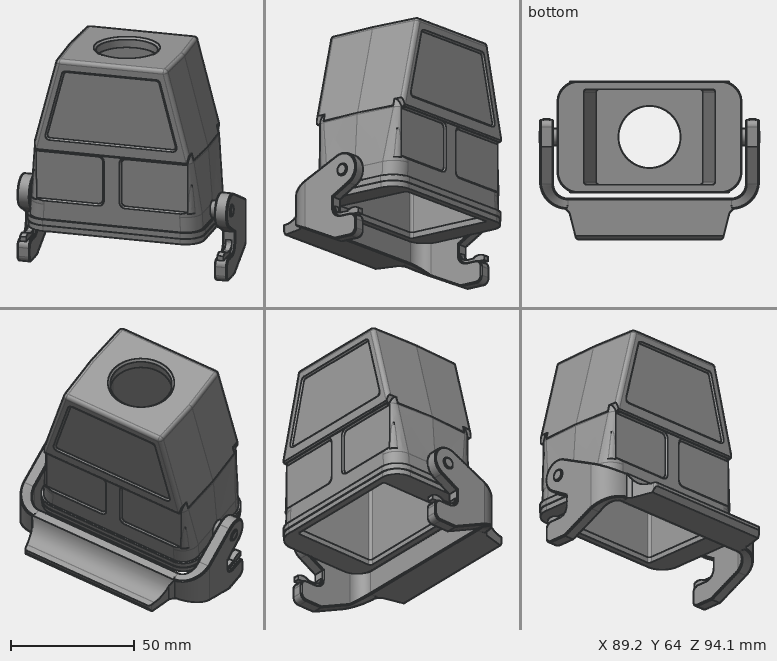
import cadquery as cq
import math

HOOD_TOP = 94.1
LEDGE_Z = 54.4
NOTCH_TOP = 58.0
BAND_TOP = 31.4
FLANGE_TOP = 25.0
FLANGE_BOTTOM = 22.5
GASKET_BOTTOM = 20.0

UPPER_HALF_Y = 22.5
UPPER_TOP_HALF_X = 24.0
UPPER_LOW_HALF_X = 34.3
PARTING_RISE = 0.8
BAND_RISE = 0.1
LOWER_HALF_Y = 21.55
BAND_HALF_X = 35.9
FOOT_HALF_X = 36.3
BAND_RADIUS = 7.3
CORNER_RADIUS = 3.8
POST_RADIUS = 2.8
POST_LOW_HALF_X = 34.4
POST_TOP_HALF_X = 33.4
FLANGE_LIP = 0.9
GASKET_LIP = 0.7
UPPER_FILLET = 1.7
END_SLOPE = (UPPER_LOW_HALF_X - UPPER_TOP_HALF_X) / (HOOD_TOP - LEDGE_Z)

NOTCH_HALF_X = 31.9
LEDGE_CHAMFER = 0.7
NOTCH_HALF_Y = LOWER_HALF_Y - CORNER_RADIUS

PANEL_DEPTH = 0.75
PANEL_TOP_Z = 89.6
PANEL_BOTTOM_Z = 59.4
PANEL_TOP_HALF_X = 20.4
PANEL_RADIUS = 1.9
SIDE_PANEL_BOTTOM_Z = 32.8
SIDE_PANEL_GAP = 3.2
SIDE_PANEL_RADIUS = 2.6

CABLE_HOLE_D = 25.0
CABLE_HOLE_CHAMFER = 0.9
CAVITY_TOP = 89.8
CAVITY_KNEE_Z = 70.6
CAVITY_HALF_X = 26.5
CAVITY_HALF_Y = 19.3
CAVITY_RADIUS = 1.1

PIVOT_Z = 28.6
PIN_D = 5.1
PIN_END = 44.6
PIN_CHAMFER = 0.5
COLLAR_D = 7.0
COLLAR_SEAT = 34.8

ARM_OUTER = 44.3
ARM_INNER = 39.0
BRIDGE_OUTER_Y = 29.2
BRIDGE_INNER_Y = 24.8
BEND_START_Y = 19.0
BOSS_RADIUS = 7.1
BRIDGE_TOP_Z = 22.9
BRIDGE_BOTTOM_Z = 11.9
HOOK_HEEL_Y = 3.9
HOOK_TIP_Y = -7.0
HOOK_BACK_Y = 4.7
HOOK_THROAT_Z = 17.9
HOOK_SEAT_Z = 9.4
HOOK_RADIUS = 4.1
HOOK_CORNER = 2.8
ARM_CHAMFER = 0.5
BEND_STEPS = 4

HANDLE_TIP_Y = 41.5
HANDLE_TOP_Z = 16.1
HANDLE_FLAT_Y = 38.6
HANDLE_TIP_HALF_X = 29.6
HANDLE_NECK_Y = 30.8
HANDLE_NECK_HALF_X = 32.4
HANDLE_ROOT_HALF_X = 36.5
HANDLE_ROOT_Y = 27.8
HANDLE_SAG = 2.1
HANDLE_FLARE_SAG = 0.6
HANDLE_TIP_RADIUS = 1.4
HANDLE_BEVEL_Y = 1.5
HANDLE_BEVEL_Z = 2.7

INSERT_WIDTH = 2.6
INSERT_TOP_Z = 12.0
INSERT_DIP_Z = 11.0
INSERT_START_Z = 14.3
INSERT_TIP_Y = -7.3
BUMP_START_Y = -1.7
BUMP_PEAK_Y = -4.5
BUMP_END_Z = 11.4

SIDES = (-1, 1)
CORNERS = [(sx, sy) for sx in SIDES for sy in SIDES]
DIAGONAL = math.sqrt(0.5)


def rounded_box(half_x, half_y, radius, z_low, z_high):
    block = cq.Workplane("XY").workplane(offset=z_low).rect(2 * half_x, 2 * half_y)
    return block.extrude(z_high - z_low).edges("|Z").fillet(radius)


def section(z, half_x, half_y, radius, rise):
    """Closed outline at height z; its end sides bow out to half_x + rise at Y = 0."""
    flat_x = half_x - radius
    flat_y = half_y - radius
    bow = radius * DIAGONAL
    outline = cq.Workplane("XY").workplane(offset=z).moveTo(half_x + rise, 0)
    outline = outline.lineTo(half_x, flat_y)
    outline = outline.threePointArc((flat_x + bow, flat_y + bow), (flat_x, half_y))
    outline = outline.lineTo(-flat_x, half_y)
    outline = outline.threePointArc((-flat_x - bow, flat_y + bow), (-half_x, flat_y))
    outline = outline.lineTo(-half_x - rise, 0)
    outline = outline.lineTo(-half_x, -flat_y)
    outline = outline.threePointArc((-flat_x - bow, -flat_y - bow), (-flat_x, -half_y))
    outline = outline.lineTo(flat_x, -half_y)
    outline = outline.threePointArc((flat_x + bow, -flat_y - bow), (half_x, -flat_y))
    return outline.close().wires().val()


def loft(*wires):
    return cq.Workplane(obj=cq.Solid.makeLoft(list(wires), True))


def corner_notch(sx, sy):
    """Wedge under one lower corner of the upper housing; sx and sy pick the corner."""
    slope_x = UPPER_LOW_HALF_X - PARTING_RISE - END_SLOPE * (NOTCH_TOP - LEDGE_Z)
    profile = [
        (sx * NOTCH_HALF_X, LEDGE_Z), (sx * ARM_INNER, LEDGE_Z),
        (sx * ARM_INNER, NOTCH_TOP), (sx * slope_x, NOTCH_TOP),
    ]
    start = min(sy * NOTCH_HALF_Y, sy * (UPPER_HALF_Y + 0.9))
    wedge = cq.Workplane("XZ", origin=(0, start, 0)).polyline(profile).close()
    return wedge.extrude(NOTCH_HALF_Y - UPPER_HALF_Y - 0.9)


def upper_housing():
    def outline(z, half_x):
        corner_x = half_x - PARTING_RISE
        points = [
            (half_x, 0), (corner_x, UPPER_HALF_Y), (-corner_x, UPPER_HALF_Y),
            (-half_x, 0), (-corner_x, -UPPER_HALF_Y), (corner_x, -UPPER_HALF_Y),
        ]
        return cq.Workplane("XY").workplane(offset=z).polyline(points).close().wires().val()

    body = loft(outline(LEDGE_Z, UPPER_LOW_HALF_X), outline(HOOD_TOP, UPPER_TOP_HALF_X))
    rounded_edges = body.faces("<Y or >Y").edges("not(|X)").add(body.edges(">Z"))
    body = rounded_edges.fillet(UPPER_FILLET)
    body = body.edges("|X and <Z").chamfer(LEDGE_CHAMFER)
    for sx, sy in CORNERS:
        body = body.cut(corner_notch(sx, sy))
    return body


def lower_housing():
    ledge_half_x = UPPER_LOW_HALF_X - PARTING_RISE
    top_half_x = ledge_half_x - END_SLOPE * (NOTCH_TOP - LEDGE_Z)
    band_top = section(BAND_TOP, BAND_HALF_X, LOWER_HALF_Y, BAND_RADIUS, BAND_RISE)
    foot = section(FLANGE_TOP, FOOT_HALF_X, LOWER_HALF_Y, BAND_RADIUS, BAND_RISE)
    ledge = section(LEDGE_Z, ledge_half_x, LOWER_HALF_Y, CORNER_RADIUS, PARTING_RISE)
    notch_top = section(NOTCH_TOP, top_half_x, LOWER_HALF_Y, CORNER_RADIUS, PARTING_RISE)
    body = loft(foot, band_top).union(loft(band_top, ledge))
    body = body.union(loft(ledge, notch_top))
    flange = rounded_box(
        FOOT_HALF_X + FLANGE_LIP, LOWER_HALF_Y + FLANGE_LIP, BAND_RADIUS + FLANGE_LIP,
        FLANGE_BOTTOM, FLANGE_TOP)
    post_half_y = LOWER_HALF_Y - PANEL_DEPTH
    posts = loft(
        section(SIDE_PANEL_BOTTOM_Z, POST_LOW_HALF_X, post_half_y, POST_RADIUS, 0),
        section(LEDGE_Z, POST_TOP_HALF_X, post_half_y, POST_RADIUS, 0))
    return body.union(flange).union(posts)


def panel_recess(points, radius, face_y):
    """Rounded recess with 45 degree walls, sunk into the long side at Y = -face_y."""
    block = cq.Workplane("XZ").workplane(offset=face_y - PANEL_DEPTH).polyline(points).close()
    block = block.extrude(PANEL_DEPTH).edges("|Y").fillet(radius)
    return block.faces(">Y").chamfer(0.99 * PANEL_DEPTH)


def recessed_panels():
    bottom_half_x = PANEL_TOP_HALF_X + END_SLOPE * (PANEL_TOP_Z - PANEL_BOTTOM_Z)
    upper_panel = panel_recess(
        [
            (-bottom_half_x, PANEL_BOTTOM_Z), (bottom_half_x, PANEL_BOTTOM_Z),
            (PANEL_TOP_HALF_X, PANEL_TOP_Z), (-PANEL_TOP_HALF_X, PANEL_TOP_Z),
        ],
        PANEL_RADIUS, UPPER_HALF_Y)
    side_panel = panel_recess(
        [
            (SIDE_PANEL_GAP, SIDE_PANEL_BOTTOM_Z), (ARM_OUTER, SIDE_PANEL_BOTTOM_Z),
            (ARM_OUTER, LEDGE_Z), (SIDE_PANEL_GAP, LEDGE_Z),
        ],
        SIDE_PANEL_RADIUS, LOWER_HALF_Y)
    near_side = [upper_panel, side_panel, side_panel.mirror("YZ")]
    return near_side + [panel.mirror("XZ") for panel in near_side]


def cavity():
    roof_half_x = CAVITY_HALF_X - END_SLOPE * (CAVITY_TOP - CAVITY_KNEE_Z)
    profile = [
        (-CAVITY_HALF_X, GASKET_BOTTOM), (CAVITY_HALF_X, GASKET_BOTTOM),
        (CAVITY_HALF_X, CAVITY_KNEE_Z), (roof_half_x, CAVITY_TOP),
        (-roof_half_x, CAVITY_TOP), (-CAVITY_HALF_X, CAVITY_KNEE_Z),
    ]
    block = cq.Workplane("XZ").polyline(profile).close().extrude(CAVITY_HALF_Y, both=True)
    end_faces = block.faces("<X or >X")
    end_edges = end_faces.edges("|Z")
    slanted_edges = block.faces("<Y or >Y").edges("not(|X or |Z)")
    return end_edges.add(slanted_edges).fillet(CAVITY_RADIUS)


def cable_hole():
    radius = CABLE_HOLE_D / 2
    profile = [
        (0, CAVITY_TOP - 0.9), (radius, CAVITY_TOP - 0.9), (radius, HOOD_TOP - CABLE_HOLE_CHAMFER),
        (radius + CABLE_HOLE_CHAMFER, HOOD_TOP), (0, HOOD_TOP),
    ]
    return cq.Workplane("XZ").polyline(profile).close().revolve(360, (0, 0), (0, 1))


def make_gasket():
    ring = rounded_box(
        FOOT_HALF_X + GASKET_LIP, LOWER_HALF_Y + GASKET_LIP, BAND_RADIUS + GASKET_LIP,
        GASKET_BOTTOM, FLANGE_BOTTOM)
    return ring.cut(cavity())


def make_pin(side):
    """Collared pivot pin lying along X; side is -1 or 1."""
    collar = cq.Workplane("YZ").workplane(offset=COLLAR_SEAT).center(0, PIVOT_Z)
    collar = collar.circle(COLLAR_D / 2).extrude(ARM_INNER - COLLAR_SEAT)
    shaft = cq.Workplane("YZ").workplane(offset=ARM_INNER).center(0, PIVOT_Z)
    shaft = shaft.circle(PIN_D / 2).extrude(PIN_END - ARM_INNER).faces(">X").chamfer(PIN_CHAMFER)
    pin = collar.union(shaft)
    return pin if side > 0 else pin.mirror("YZ")


def make_hood():
    body = upper_housing().union(lower_housing())
    for panel in recessed_panels():
        body = body.cut(panel)
    body = body.cut(cavity()).cut(cable_hole())
    for side in SIDES:
        body = body.cut(make_pin(side))
    return body


def boss_tangent(y, z, turn):
    """Point where a line from (y, z) touches the pivot boss; turn picks one of the two."""
    distance = math.hypot(y, z - PIVOT_Z)
    direction = math.atan2(z - PIVOT_Z, y)
    angle = direction + turn * math.acos(BOSS_RADIUS / distance)
    return (BOSS_RADIUS * math.cos(angle), PIVOT_Z + BOSS_RADIUS * math.sin(angle))


def arm_profile(plane_offset, length):
    """Lever arm outline in the YZ plane, extruded along X."""
    top_tangent = boss_tangent(BRIDGE_OUTER_Y, BRIDGE_TOP_Z, 1)
    throat_tangent = boss_tangent(HOOK_BACK_Y, HOOK_THROAT_Z, -1)
    bend = HOOK_RADIUS * (1 - DIAGONAL)
    arm = cq.Workplane("YZ").workplane(offset=plane_offset)
    arm = arm.moveTo(BRIDGE_OUTER_Y, BRIDGE_BOTTOM_Z).lineTo(BRIDGE_OUTER_Y, BRIDGE_TOP_Z)
    arm = arm.lineTo(*top_tangent)
    arm = arm.threePointArc((-BOSS_RADIUS, PIVOT_Z), throat_tangent)
    arm = arm.lineTo(HOOK_BACK_Y, HOOK_THROAT_Z)
    arm = arm.lineTo(HOOK_BACK_Y, HOOK_SEAT_Z + HOOK_RADIUS)
    arm = arm.threePointArc(
        (HOOK_BACK_Y - bend, HOOK_SEAT_Z + bend), (HOOK_BACK_Y - HOOK_RADIUS, HOOK_SEAT_Z))
    arm = arm.lineTo(HOOK_TIP_Y, HOOK_SEAT_Z).lineTo(HOOK_TIP_Y, 0).lineTo(HOOK_HEEL_Y, 0)
    arm = arm.close().extrude(length)
    return arm.edges("|X").edges("<Y").fillet(HOOK_CORNER)


def outer_arm():
    """Straight arm on the +X side, ending where the bend starts."""
    arm = arm_profile(ARM_INNER, ARM_OUTER - ARM_INNER)
    beyond_bend = cq.Workplane("XY").box(
        2 * ARM_OUTER, HOOD_TOP, HOOD_TOP, centered=(True, False, False))
    arm = arm.cut(beyond_bend.translate((0, BEND_START_Y, 0)))
    return arm.faces("<X or >X").edges("not(>Y)").chamfer(ARM_CHAMFER)


def lever_edge_heights(y):
    """Heights of the arm's sloping lower and upper edges at a given Y."""
    tangent_y, tangent_z = boss_tangent(BRIDGE_OUTER_Y, BRIDGE_TOP_Z, 1)
    fall = (tangent_z - BRIDGE_TOP_Z) / (BRIDGE_OUTER_Y - tangent_y)
    rise = BRIDGE_BOTTOM_Z / (BRIDGE_OUTER_Y - HOOK_HEEL_Y)
    return rise * (y - HOOK_HEEL_Y), BRIDGE_TOP_Z + fall * (BRIDGE_OUTER_Y - y)


def bend_section(angle):
    """Bevelled upright cross-section of the bail, turned about the bend's centre."""
    turned = math.sin(angle)
    inner = BRIDGE_INNER_Y - BEND_START_Y
    arm_thickness = ARM_OUTER - ARM_INNER
    bridge_thickness = BRIDGE_OUTER_Y - BRIDGE_INNER_Y
    outer = inner + arm_thickness + (bridge_thickness - arm_thickness) * turned
    low, high = lever_edge_heights(BEND_START_Y + (BRIDGE_OUTER_Y - BEND_START_Y) * turned)
    bevel = ARM_CHAMFER
    corners = [
        (inner + bevel, low), (outer - bevel, low), (outer, low + bevel), (outer, high - bevel),
        (outer - bevel, high), (inner + bevel, high), (inner, high - bevel), (inner, low + bevel),
    ]
    centre_x = ARM_INNER - inner
    points = [
        cq.Vector(centre_x + r * math.cos(angle), BEND_START_Y + r * math.sin(angle), z)
        for r, z in corners
    ]
    return cq.Wire.makePolygon(points, close=True)


def lever_frame():
    """U-shaped bail: two arms joined by a bridge, bent at both corners."""
    angles = [math.radians(90 * step / BEND_STEPS) for step in range(BEND_STEPS + 1)]
    bend = cq.Workplane(obj=cq.Solid.makeLoft([bend_section(angle) for angle in angles], False))
    half = outer_arm().union(bend)
    bridge_end = bend_section(math.pi / 2)
    bridge = loft(bridge_end, bridge_end.mirror("YZ"))
    return bridge.union(half).union(half.mirror("YZ"))


def handle():
    """Finger grip along the bridge, with a hollow top and a flared root."""
    middle_y = (HANDLE_FLAT_Y + BRIDGE_OUTER_Y) / 2
    middle_z = (HANDLE_TOP_Z + BRIDGE_TOP_Z) / 2 - HANDLE_SAG
    side = cq.Workplane("YZ").workplane(offset=-ARM_OUTER).moveTo(HANDLE_ROOT_Y, BRIDGE_BOTTOM_Z)
    side = side.lineTo(HANDLE_TIP_Y - HANDLE_BEVEL_Y, BRIDGE_BOTTOM_Z)
    side = side.lineTo(HANDLE_TIP_Y, BRIDGE_BOTTOM_Z + HANDLE_BEVEL_Z)
    side = side.lineTo(HANDLE_TIP_Y, HANDLE_TOP_Z).lineTo(HANDLE_FLAT_Y, HANDLE_TOP_Z)
    side = side.threePointArc((middle_y, middle_z), (BRIDGE_OUTER_Y, BRIDGE_TOP_Z))
    side = side.lineTo(HANDLE_ROOT_Y, BRIDGE_TOP_Z).close().extrude(2 * ARM_OUTER)

    flare_x = (HANDLE_NECK_HALF_X + HANDLE_ROOT_HALF_X) / 2 - HANDLE_FLARE_SAG
    flare_y = (HANDLE_NECK_Y + HANDLE_ROOT_Y) / 2
    plan = cq.Workplane("XY").moveTo(-HANDLE_TIP_HALF_X, HANDLE_TIP_Y)
    plan = plan.lineTo(HANDLE_TIP_HALF_X, HANDLE_TIP_Y)
    plan = plan.lineTo(HANDLE_NECK_HALF_X, HANDLE_NECK_Y)
    plan = plan.threePointArc((flare_x, flare_y), (HANDLE_ROOT_HALF_X, HANDLE_ROOT_Y))
    plan = plan.lineTo(-HANDLE_ROOT_HALF_X, HANDLE_ROOT_Y)
    plan = plan.threePointArc((-flare_x, flare_y), (-HANDLE_NECK_HALF_X, HANDLE_NECK_Y))
    plan = plan.close().extrude(HOOD_TOP).edges("|Z and >Y").fillet(HANDLE_TIP_RADIUS)
    return side.intersect(plan)


def make_lever():
    lever = lever_frame().union(handle())
    for side in SIDES:
        lever = lever.cut(make_pin(side))
    return lever


def make_insert(side):
    """Snap strip lying on the hook seat, with a bump at its tip; side is -1 or 1."""
    arm_middle = (ARM_OUTER + ARM_INNER) / 2
    seat_y = HOOK_BACK_Y - HOOK_RADIUS
    seat_bend = HOOK_RADIUS * (1 - DIAGONAL)
    top_radius = INSERT_START_Z - INSERT_DIP_Z
    top_y = HOOK_BACK_Y - top_radius
    top_bend = top_radius * (1 - DIAGONAL)
    strip = cq.Workplane("YZ").workplane(offset=side * arm_middle - INSERT_WIDTH / 2)
    strip = strip.moveTo(HOOK_BACK_Y, INSERT_START_Z).lineTo(HOOK_BACK_Y, HOOK_SEAT_Z + HOOK_RADIUS)
    strip = strip.threePointArc(
        (HOOK_BACK_Y - seat_bend, HOOK_SEAT_Z + seat_bend), (seat_y, HOOK_SEAT_Z))
    strip = strip.lineTo(INSERT_TIP_Y, HOOK_SEAT_Z).lineTo(INSERT_TIP_Y, BUMP_END_Z)
    strip = strip.threePointArc((BUMP_PEAK_Y, INSERT_TOP_Z), (BUMP_START_Y, INSERT_DIP_Z))
    strip = strip.lineTo(top_y, INSERT_DIP_Z)
    strip = strip.threePointArc(
        (HOOK_BACK_Y - top_bend, INSERT_DIP_Z + top_bend), (HOOK_BACK_Y, INSERT_START_Z))
    return strip.close().extrude(INSERT_WIDTH)


hood = make_hood()
gasket = make_gasket()
lever = make_lever()
pins = [make_pin(side) for side in SIDES]
inserts = [make_insert(side) for side in SIDES]

result = cq.Compound.makeCompound([
    hood.val(),
    gasket.val(),
    lever.val(),
    *[pin.val() for pin in pins],
    *[insert.val() for insert in inserts],
])